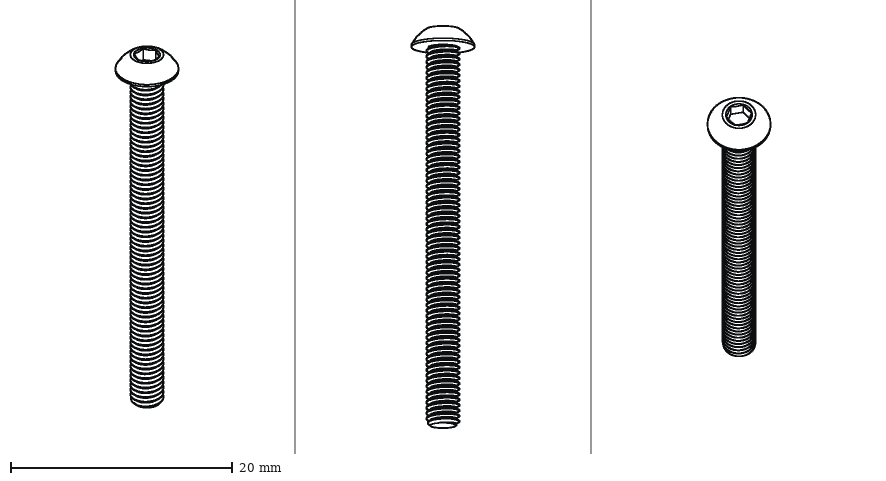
import cadquery as cq
import math

total_length = 36.65
head_diameter = 5.7
head_height = 1.65
rim_height = 0.22
crown_diameter = 3.0
dome_bulge = 0.15
socket_flats = 2.0
socket_depth = 1.2
mouth_diameter = 2.4
lead_in_slope = 30.0
thread_diameter = 3.0
thread_turns = 70
flank_angle = 30.0
tip_chamfer = 0.33
thread_start = 247.0
groove_overshoot = 0.05

shank_length = total_length - head_height
pitch = shank_length / thread_turns
flank_slope = math.tan(math.radians(flank_angle))
ridge_height = pitch * math.sqrt(3) / 2
thread_depth = ridge_height * 17 / 24
crest_flat = pitch / 8
root_flat = pitch - crest_flat - 2 * thread_depth * flank_slope
thread_radius = thread_diameter / 2
root_radius = thread_radius - thread_depth


def make_head():
    """Revolved head: plain rim, domed side and flat crown; underside at Z = 0."""
    rim_radius = head_diameter / 2
    crown_radius = crown_diameter / 2
    run = rim_radius - crown_radius
    rise = head_height - rim_height
    chord = math.hypot(run, rise)
    dome_middle = (
        (rim_radius + crown_radius) / 2 + dome_bulge * rise / chord,
        (rim_height + head_height) / 2 + dome_bulge * run / chord,
    )
    return (
        cq.Workplane("XZ")
        .lineTo(rim_radius, 0)
        .lineTo(rim_radius, rim_height)
        .threePointArc(dome_middle, (crown_radius, head_height))
        .lineTo(0, head_height)
        .close()
        .revolve(360, (0, 0), (0, 1))
    )


def make_socket():
    """Hexagonal socket with corners on the Y axis and a conical lead-in."""
    corner_diameter = socket_flats * 2 / math.sqrt(3)
    hexagon = (
        cq.Workplane("XY", origin=(0, 0, head_height - socket_depth))
        .transformed(rotate=(0, 0, 90))
        .polygon(6, corner_diameter)
        .extrude(socket_depth)
    )
    flat_radius = socket_flats / 2
    mouth_radius = mouth_diameter / 2
    lead_in_depth = (mouth_radius - flat_radius) * math.tan(math.radians(lead_in_slope))
    lead_in = cq.Workplane(
        cq.Solid.makeCone(
            flat_radius,
            mouth_radius,
            lead_in_depth,
            pnt=cq.Vector(0, 0, head_height - lead_in_depth),
        )
    )
    return hexagon.union(lead_in)


def make_shank():
    """Plain shank with a chamfered tip."""
    return (
        cq.Workplane("XY")
        .circle(thread_radius)
        .extrude(-shank_length)
        .faces("<Z")
        .chamfer(tip_chamfer)
    )


def make_groove():
    """Right-hand helical groove that runs past the tip and past the head underside."""
    start = -shank_length - pitch
    one_turn = cq.Wire.makeHelix(pitch, pitch, root_radius)
    turns = [
        one_turn.translate(cq.Vector(0, 0, start + turn * pitch))
        for turn in range(thread_turns + 2)
    ]
    helix = cq.Wire.combine(turns)[0]
    mouth_radius = thread_radius + groove_overshoot
    half_root = root_flat / 2
    half_mouth = half_root + (mouth_radius - root_radius) * flank_slope
    return (
        cq.Workplane("XZ")
        .moveTo(root_radius, start - half_root)
        .lineTo(mouth_radius, start - half_mouth)
        .lineTo(mouth_radius, start + half_mouth)
        .lineTo(root_radius, start + half_root)
        .close()
        .sweep(cq.Workplane(helix), isFrenet=True)
        .rotate((0, 0, 0), (0, 0, 1), thread_start)
    )


head = make_head().cut(make_socket())
threaded_shank = make_shank().cut(make_groove())
result = head.union(threaded_shank)